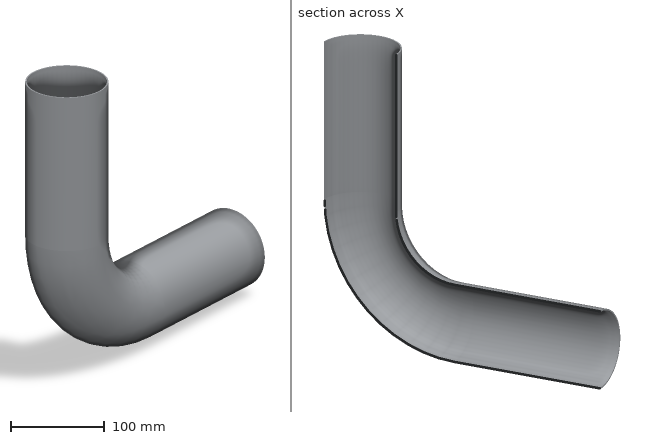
import cadquery as cq
import math

outer_diameter = 88.9
wall_thickness = 1.6
bend_radius = 114.3
leg_length = 177.8

inner_diameter = outer_diameter - 2 * wall_thickness
leg_end = bend_radius + leg_length


def centreline():
    """Path down the vertical leg, round the bend and out along +Y.

    In the YZ plane, with the origin where the two leg axes cross.
    """
    arc_mid = bend_radius * (1 - math.sqrt(0.5))
    return (
        cq.Workplane("YZ")
        .moveTo(0, leg_end)
        .lineTo(0, bend_radius)
        .threePointArc((arc_mid, arc_mid), (bend_radius, 0))
        .lineTo(leg_end, 0)
    )


def bent_pipe():
    """Ring-shaped pipe section swept along the centreline."""
    return (
        cq.Workplane("XY", origin=(0, 0, leg_end))
        .circle(outer_diameter / 2)
        .circle(inner_diameter / 2)
        .sweep(centreline())
        .solids()
    )


result = bent_pipe()